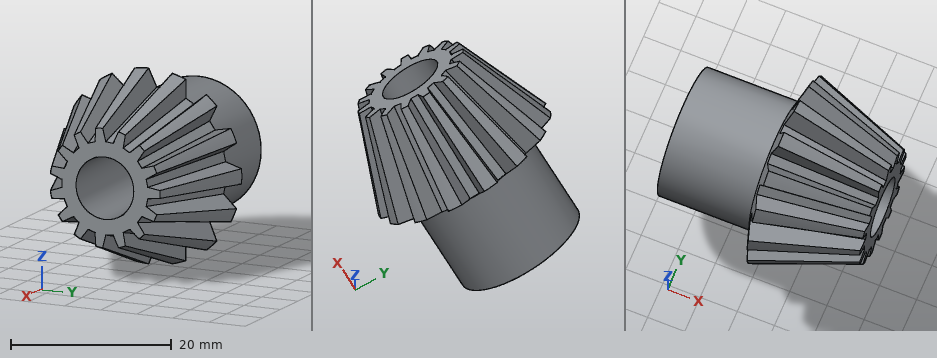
import cadquery as cq
import math

length = 26.8
hub_length = 12.35
hub_radius = 8.58
bore_radius = 4.0

crown_x = 13.67
crown_radius = 12.55
small_end_radius = 7.65

tooth_count = 15
flank_angle = 20.0
back_floor_radius = 10.1
back_floor_width = 1.35
front_floor_radius = 5.95
front_floor_width = 1.02
cutter_height = 4.02


def gear_blank():
    """Hub, back cone and tooth cone turned in one piece around the bore."""
    return (
        cq.Workplane("XY")
        .moveTo(0, bore_radius)
        .lineTo(0, hub_radius)
        .lineTo(hub_length, hub_radius)
        .lineTo(crown_x, crown_radius)
        .lineTo(length, small_end_radius)
        .lineTo(length, bore_radius)
        .close()
        .revolve(360, (0, 0, 0), (1, 0, 0))
    )


def gap_section(x, floor_radius, floor_width):
    """Closed trapezoid across the axis at x, opening outward toward -Y."""
    half_floor = floor_width / 2
    half_top = half_floor + cutter_height * math.tan(math.radians(flank_angle))
    top_radius = floor_radius + cutter_height
    corners = [
        cq.Vector(x, -floor_radius, -half_floor),
        cq.Vector(x, -top_radius, -half_top),
        cq.Vector(x, -top_radius, half_top),
        cq.Vector(x, -floor_radius, half_floor),
    ]
    return cq.Wire.makePolygon(corners, close=True)


def gap_cutter():
    """Tapered wedge that removes the gap centred on -Y."""
    back = gap_section(hub_length, back_floor_radius, back_floor_width)
    front = gap_section(length, front_floor_radius, front_floor_width)
    return cq.Workplane(obj=cq.Solid.makeLoft([back, front], True))


result = gear_blank()
cutter = gap_cutter()
for index in range(tooth_count):
    turn = index * 360 / tooth_count
    result = result.cut(cutter.rotate((0, 0, 0), (1, 0, 0), turn))